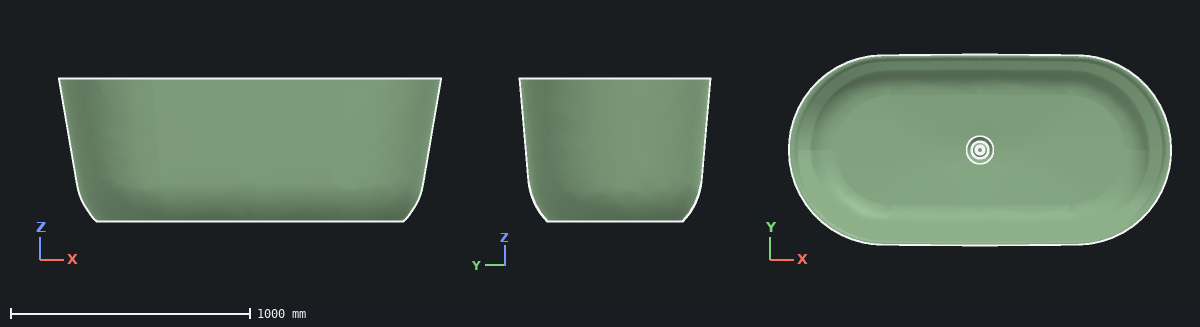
import cadquery as cq
import math

tub_height = 600.0
rim_half_length = 800.0
rim_half_width = 400.0
skirt_knee_height = 160.0
skirt_knee_half_length = 725.0
skirt_knee_half_width = 362.0
base_half_length = 640.0
base_half_width = 283.0
skirt_knee_slope = math.radians(8)
base_slope = math.radians(45)

floor_height = 184.0
floor_fall = 16.0
floor_half_length = 603.0
floor_half_width = 232.0
bowl_top_height = 290.0
bowl_top_half_length = 714.0
bowl_top_half_width = 340.0
lip_bottom_height = 567.0
lip_bottom_half_length = 762.0
lip_bottom_half_width = 371.0
rim_flat_width = 8.0

side_bow = 3.0

recess_base_radius = 37.0
recess_depth = 20.0
recess_slope = math.radians(45)
floor_low_height = floor_height - floor_fall
recess_base_height = floor_low_height - recess_depth
waste_radius = 34.0
waste_height = 16.0
waste_dome = 6.0
plug_radius = 20.0
plug_top_radius = 13.0
plug_chamfer = 5.0

curve_steps = 5
skirt_knee_steps = 4
skirt_wall_steps = 9
quarter_turn = math.pi / 2


def outline(height, half_length, half_width):
    """Horizontal oval: round ends joined tangentially by slightly bowed long sides."""
    end_radius = half_width - side_bow
    end_center = half_length - end_radius
    bow_center = (end_center**2 - side_bow**2) / (2 * side_bow)
    bow_angle = math.atan2(end_center, bow_center)
    joint_x = end_center + end_radius * math.sin(bow_angle)
    joint_y = end_radius * math.cos(bow_angle)
    middle_angle = (quarter_turn - bow_angle) / 2
    end_middle_x = end_center + end_radius * math.cos(middle_angle)
    end_middle_y = end_radius * math.sin(middle_angle)
    bow_radius = half_width + bow_center
    side_middle_x = bow_radius * math.sin(bow_angle / 2)
    side_middle_y = bow_radius * math.cos(bow_angle / 2) - bow_center
    return (
        cq.Workplane("XY", origin=(0, 0, height))
        .moveTo(half_length, 0)
        .threePointArc((end_middle_x, end_middle_y), (joint_x, joint_y))
        .threePointArc((side_middle_x, side_middle_y), (0, half_width))
        .threePointArc((-side_middle_x, side_middle_y), (-joint_x, joint_y))
        .threePointArc((-end_middle_x, end_middle_y), (-half_length, 0))
        .threePointArc((-end_middle_x, -end_middle_y), (-joint_x, -joint_y))
        .threePointArc((-side_middle_x, -side_middle_y), (0, -half_width))
        .threePointArc((side_middle_x, -side_middle_y), (joint_x, -joint_y))
        .threePointArc((end_middle_x, -end_middle_y), (half_length, 0))
        .close()
        .val()
    )


def between(low, high, across, up):
    """Outline part of the way from a low level to a high one, by separate fractions across and up."""
    height = low[0] + up * (high[0] - low[0])
    half_length = low[1] + across * (high[1] - low[1])
    half_width = low[2] + across * (high[2] - low[2])
    return outline(height, half_length, half_width)


def curved_outlines(low, high, start_angle, end_angle, steps=curve_steps):
    """Outlines along an arc whose slope from horizontal runs between two angles."""
    outlines = []
    across_span = math.sin(end_angle) - math.sin(start_angle)
    up_span = math.cos(start_angle) - math.cos(end_angle)
    for step in range(steps + 1):
        angle = start_angle + (end_angle - start_angle) * step / steps
        across = (math.sin(angle) - math.sin(start_angle)) / across_span
        up = (math.cos(start_angle) - math.cos(angle)) / up_span
        outlines.append(between(low, high, across, up))
    return outlines


def loft(outlines, ruled=False):
    return cq.Workplane(cq.Solid.makeLoft(outlines, ruled))


def make_skirt_block():
    """Solid block with the outer shape of the tub."""
    base = (0, base_half_length, base_half_width)
    knee = (skirt_knee_height, skirt_knee_half_length, skirt_knee_half_width)
    rim = (tub_height, rim_half_length, rim_half_width)
    start_angle = quarter_turn - base_slope
    knee_outlines = curved_outlines(base, knee, start_angle, quarter_turn - skirt_knee_slope, skirt_knee_steps)
    wall_parts = [(step + 1) / skirt_wall_steps for step in range(skirt_wall_steps)]
    wall_outlines = [between(knee, rim, part, part) for part in wall_parts]
    return loft(knee_outlines + wall_outlines)


def dish_floor(bowl):
    """Replace the flat underside of the bowl by a smooth dish that falls towards the drain."""
    flat_floor = bowl.faces("<Z").val()
    low_point = cq.Vector(0, 0, floor_low_height)
    dish = cq.Face.makeNSidedSurface(flat_floor.Edges(), [low_point])
    other_faces = bowl.faces("not <Z").vals()
    shell = cq.Shell.makeShell([*other_faces, dish])
    return cq.Workplane(cq.Solid.makeSolid(shell))


def make_basin_space():
    """Space inside the tub: bowl, drafted wall and rolled lip."""
    floor = (floor_height, floor_half_length, floor_half_width)
    bowl_top = (bowl_top_height, bowl_top_half_length, bowl_top_half_width)
    lip_bottom = (lip_bottom_height, lip_bottom_half_length, lip_bottom_half_width)
    lip_top = (tub_height, rim_half_length - rim_flat_width, rim_half_width - rim_flat_width)
    bowl = dish_floor(loft(curved_outlines(floor, bowl_top, 0, quarter_turn)))
    wall = loft([outline(*bowl_top), outline(*lip_bottom)], ruled=True)
    lip = loft(curved_outlines(lip_top, lip_bottom, 0, quarter_turn))
    return bowl.union(wall).union(lip)


def revolve_profile(points):
    return cq.Workplane("XZ").polyline(points).close().revolve(360, (0, 0), (0, 1))


def make_drain_recess():
    """Conical recess in the basin floor."""
    cutter_height = floor_height - recess_base_height
    return revolve_profile([
        (0, recess_base_height),
        (recess_base_radius, recess_base_height),
        (recess_base_radius + cutter_height / math.tan(recess_slope), floor_height),
        (0, floor_height),
    ])


def make_tub():
    return make_skirt_block().cut(make_basin_space()).cut(make_drain_recess())


def make_waste():
    """Ring with a sloping top, standing on the recess floor."""
    waste_top = recess_base_height + waste_height
    return revolve_profile([
        (plug_radius, recess_base_height),
        (waste_radius, recess_base_height),
        (waste_radius, waste_top - waste_dome),
        (plug_radius, waste_top),
    ])


def make_plug():
    """Round plug with a chamfered top, filling the waste ring."""
    plug_top = recess_base_height + waste_height + plug_chamfer
    return revolve_profile([
        (0, recess_base_height),
        (plug_radius, recess_base_height),
        (plug_radius, plug_top - plug_chamfer),
        (plug_top_radius, plug_top),
        (0, plug_top),
    ])


tub = make_tub()
waste = make_waste()
plug = make_plug()

result = cq.Compound.makeCompound([tub.val(), waste.val(), plug.val()])